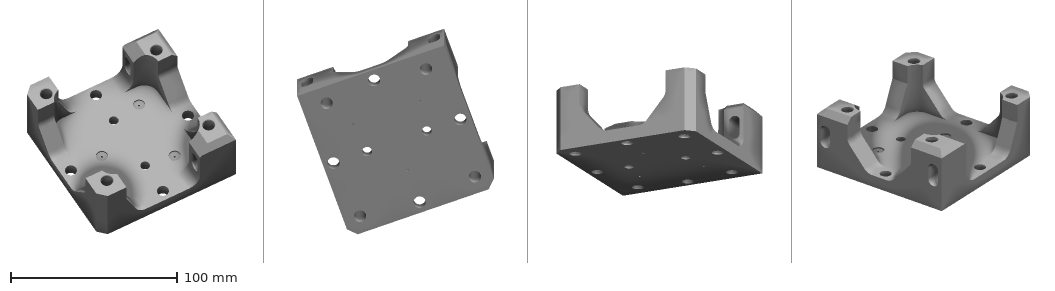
import cadquery as cq
import math

side = 94.0
height = 39.9
half_side = side / 2
floor_z = 7.8
front_corner_chamfer = 5.1

rear_cavity_half = 33.6
front_cavity_half = 35.9
cavity_corner_radius = 9.7

opening_radius = 7.6
opening_knee_radius = 6.4
front_opening_half = 28.9
rear_opening_half = 24.0
opening_slope = 48.5
opening_knee_z = 24.7
side_opening_rear_y = 22.0
side_opening_front_y = 28.9
side_slope = 66.0
side_knee_z = 27.9

outer_bevel = 3.9
inner_bevel_length = 7.4
inner_bevel_drop = 5.1

rear_leg_hole_x = 31.8
leg_hole_y = 36.7
front_leg_hole_x = 36.7
leg_hole_diameter = 7.3
leg_hole_chamfer = 0.4
edge_hole_offset = 40.6
edge_hole_diameter = 7.2
dowel_hole_x = 19.1
dowel_hole_diameter = 5.8
seat_points = [(-21.6, 19.1), (21.6, 19.1), (0.0, -19.1)]
seat_diameter = 7.2
seat_depth = 1.0
seat_pin_diameter = 1.2

slot_width = 7.4
slot_bottom_z = 15.1
slot_height = 14.85


def box_between(x_range, y_range, z_range):
    """A box given by its lower and upper limit along each axis."""
    sizes = [high - low for low, high in (x_range, y_range, z_range)]
    corner = (x_range[0], y_range[0], z_range[0])
    return cq.Workplane("XY").box(*sizes, centered=False).translate(corner)


def cavity_half(half_width, direction):
    """Half of the cavity, reaching half_width from the middle towards +Y or -Y."""
    return (
        box_between((-half_width, half_width), (0, half_width), (floor_z, height))
        .edges("|Z and >Y")
        .fillet(cavity_corner_radius)
        .rotate((0, 0, 0), (0, 0, 1), 0 if direction > 0 else 180)
    )


def sloped_opening(half_width, direction):
    """Opening with upright upper walls and sloped lower walls, cut towards +Y or -Y."""
    floor_half = half_width - (opening_knee_z - floor_z) / math.tan(math.radians(opening_slope))
    profile = [
        (-half_width, height),
        (-half_width, opening_knee_z),
        (-floor_half, floor_z),
        (floor_half, floor_z),
        (half_width, opening_knee_z),
        (half_width, height),
    ]
    opening = cq.Workplane("XZ").polyline(profile).close().extrude(-direction * half_side)
    opening = opening.edges("|Y and <Z").fillet(opening_radius)
    knees = opening.faces("<X or >X").edges("|Y and (not >Z)")
    return knees.fillet(opening_knee_radius)


def side_opening():
    """Opening running across the whole block along X."""
    front_floor_y = (side_knee_z - floor_z) / math.tan(math.radians(side_slope)) - side_opening_front_y
    profile = [
        (side_opening_rear_y, height),
        (side_opening_rear_y, floor_z),
        (front_floor_y, floor_z),
        (-side_opening_front_y, side_knee_z),
        (-side_opening_front_y, height),
    ]
    return (
        cq.Workplane("YZ")
        .polyline(profile)
        .close()
        .extrude(half_side, both=True)
        .edges("|X and <Z")
        .fillet(opening_radius)
    )


def inner_bevel():
    """Wedge taken off the rear legs above the side opening."""
    y = side_opening_rear_y
    return (
        cq.Workplane("YZ")
        .polyline([(y, height), (y + inner_bevel_length, height), (y, height - inner_bevel_drop)])
        .close()
        .extrude(half_side, both=True)
    )


def through_holes(points, diameter):
    """Cylinders along Z through the full height."""
    return cq.Workplane("XY").pushPoints(points).circle(diameter / 2).extrude(height)


def leg_hole(x, y):
    """Through hole in a leg, with a small chamfer at the top."""
    radius = leg_hole_diameter / 2
    mouth_base = cq.Vector(x, y, height - leg_hole_chamfer)
    mouth = cq.Solid.makeCone(radius, radius + leg_hole_chamfer, leg_hole_chamfer, mouth_base)
    return through_holes([(x, y)], leg_hole_diameter).union(cq.Workplane(mouth))


def leg_slots():
    """Upright round-ended slots running along Y through the rear legs."""
    return (
        cq.Workplane("XZ", origin=(0, half_side, slot_bottom_z + slot_height / 2))
        .pushPoints([(-edge_hole_offset, 0), (edge_hole_offset, 0)])
        .slot2D(slot_height, slot_width, 90)
        .extrude(half_side - side_opening_rear_y)
    )


body = box_between((-half_side, half_side), (-half_side, half_side), (0, height))
body = body.edges("|Z and <Y").chamfer(front_corner_chamfer)

rear_block = box_between((-half_side, half_side), (0, half_side), (0, height))
rear_bevels = rear_block.cut(rear_block.faces(">Z").edges(">Y or <X or >X").chamfer(outer_bevel))
body = body.cut(rear_bevels)

body = body.cut(cavity_half(rear_cavity_half, 1))
body = body.cut(cavity_half(front_cavity_half, -1))
body = body.cut(sloped_opening(rear_opening_half, 1))
body = body.cut(sloped_opening(front_opening_half, -1))
body = body.cut(side_opening())
body = body.cut(inner_bevel())

body = body.cut(leg_slots())
for sign in (-1, 1):
    body = body.cut(leg_hole(sign * rear_leg_hole_x, leg_hole_y))
    body = body.cut(leg_hole(sign * front_leg_hole_x, -leg_hole_y))

edge_holes = [(edge_hole_offset, 0), (-edge_hole_offset, 0), (0, edge_hole_offset), (0, -edge_hole_offset)]
body = body.cut(through_holes(edge_holes, edge_hole_diameter))
body = body.cut(through_holes([(-dowel_hole_x, 0), (dowel_hole_x, 0)], dowel_hole_diameter))

seats = cq.Workplane("XY", origin=(0, 0, floor_z)).pushPoints(seat_points).circle(seat_diameter / 2)
body = body.cut(seats.extrude(-seat_depth))
body = body.cut(through_holes(seat_points, seat_pin_diameter))

result = body